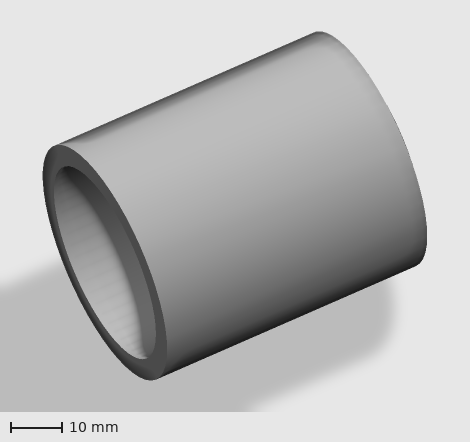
import cadquery as cq

total_length = 62.9
outer_diameter = 50.0
wall = 4.5
dome_height = 4.5

outer_radius = outer_diameter / 2
inner_radius = outer_radius - wall

outer_dome_radius = (outer_radius**2 + dome_height**2) / (2 * dome_height)
inner_dome_radius = outer_dome_radius - wall
dome_centre = total_length - outer_dome_radius


def domed_cylinder(radius, dome_radius):
    """Solid cylinder from the open end, finished by a spherical dome."""
    def dome_y(x):
        return dome_centre + (dome_radius**2 - x**2) ** 0.5

    profile = (
        cq.Workplane("XY")
        .lineTo(radius, 0)
        .lineTo(radius, dome_y(radius))
        .threePointArc((radius / 2, dome_y(radius / 2)), (0, dome_y(0)))
        .close()
    )
    return profile.revolve(360, (0, 0, 0), (0, 1, 0))


outer_body = domed_cylinder(outer_radius, outer_dome_radius)
cavity = domed_cylinder(inner_radius, inner_dome_radius)

result = outer_body.cut(cavity)